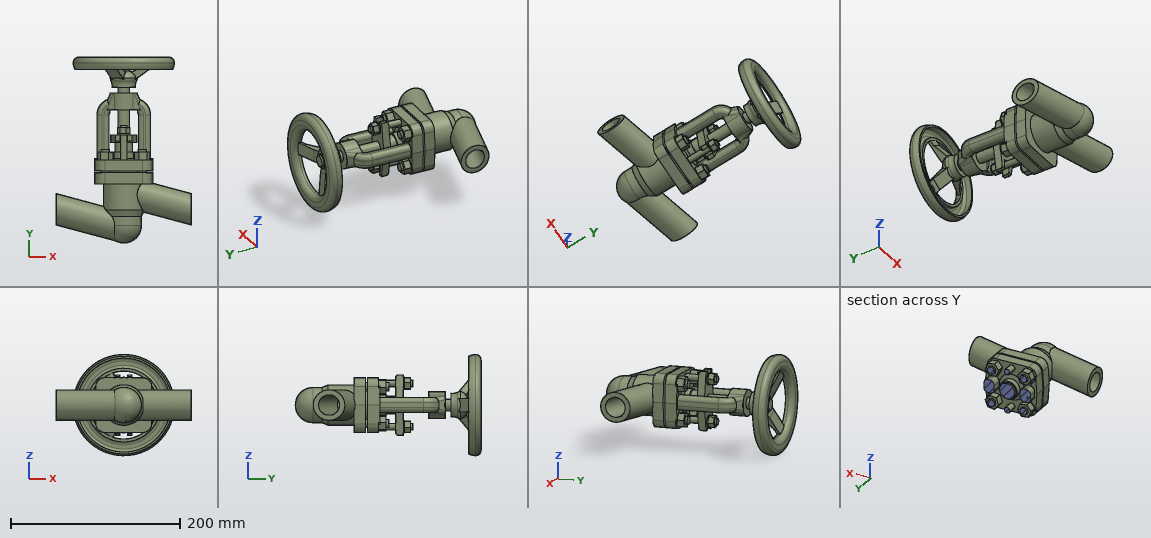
import cadquery as cq
import math


PIPE_RADIUS = 18.0
BORE_RADIUS = 12.0
PIPE_END_X = 80.0
PIPE_TILT = 15.0
BODY_RADIUS = 24.0
NECK_RADIUS = 21.0
CONE_TOP_Y = -1.0
CONE_BOTTOM_Y = -8.5
DOME_CENTRE_Y = -19.0

FLANGE_HALF_Z = 32.5
FLANGE_CORNER_X = 32.5
FLANGE_PEAK_X = 34.7
FLANGE_CORNER_RADIUS = 11.0
BODY_FLANGE_THICKNESS = 13.5
BONNET_FLANGE_THICKNESS = 13.0
BODY_FLANGE_Y = 29.7
FLANGE_GAP = 2.1
BONNET_FLANGE_Y = BODY_FLANGE_Y + BODY_FLANGE_THICKNESS + FLANGE_GAP
BONNET_TOP_Y = BONNET_FLANGE_Y + BONNET_FLANGE_THICKNESS
GASKET_RADIUS = 17.0
END_PAD_HEIGHT = 1.9
END_PAD_INNER_X = 27.0
END_PAD_HALF_Z = 22.7

BOLT_OFFSET = 21.8
BOLT_RADIUS = 5.0
BOLT_NUT_ACROSS_CORNERS = 18.6
BOLT_NUT_HEIGHT = 9.3
NUT_TURN = 8.0
BOLT_PROTRUSION = 3.0
SPOTFACE_RADIUS = 10.5

NECK_FOOT_RADIUS = 17.0
BONNET_NECK_RADIUS = 12.0
BONNET_NECK_TOP_Y = 67.7
GLAND_RADIUS = 10.5
GLAND_FLANGE_Y = 78.7
GLAND_FLANGE_THICKNESS = 9.3
GLAND_FLANGE_TOP_Y = GLAND_FLANGE_Y + GLAND_FLANGE_THICKNESS
GLAND_MIDDLE_HALF_WIDTH = 15.5
GLAND_HALF_LENGTH = 35.8
GLAND_TIP_HALF_WIDTH = 9.5
GLAND_TIP_CHAMFER = 2.0
GLAND_SLOT_WIDTH = 9.0
GLAND_BOLT_Z = 25.6
GLAND_BOLT_RADIUS = 4.0
GLAND_WASHER_RADIUS = 7.4
GLAND_WASHER_THICKNESS = 1.4
GLAND_NUT_ACROSS_CORNERS = 15.0
GLAND_NUT_HEIGHT = 7.2
GLAND_BOLT_PROTRUSION = 2.4

STEM_RADIUS = 7.0
STEM_TOP_Y = 166.0
YOKE_BOSS_RADIUS = 16.0
YOKE_BOSS_BOTTOM_Y = 117.6
YOKE_BOSS_TOP_Y = 137.6
LEG_X = 24.5
LEG_THICKNESS = 14.6
LEG_DEPTH = 18.0
LEG_ROUND = 6.0
LEG_BEND_RADIUS = 12.3
LEG_BEND_Y = 111.5
FLARE_OUTER_X = 19.5
FLARE_OUTER_Y = 129.0
FLARE_TOP_X = 15.5
FLARE_INNER_X = 10.5
FLARE_INNER_DEPTH = 24.0
FLARE_OUTER_DEPTH = 17.6
FLARE_CURVE_RADIUS = 18.0
FLARE_ROUND = 5.0

RIM_RADIUS = 60.0
RIM_INNER_RADIUS = 40.0
RIM_BOTTOM_Y = 165.1
RIM_TOP_Y = 180.0
RIM_SPLIT_Y = 173.0
RIM_LIP_OUTER = 57.8
RIM_LIP_INNER = 55.5
RIM_FLOOR_Y = 175.5
RIM_FLOOR_ROUND = 3.5
RIM_INNER_LIP_RADIUS = 43.6
RIM_INNER_LIP_Y = 169.5
RIM_LOWER_ARC_RADIUS = 18.0
SPOKE_COUNT = 3
SPOKE_WIDTH = 16.0
SPOKE_ROOT_RADIUS = 5.0
SPOKE_ROOT_BOTTOM_Y = 147.1
SPOKE_ROOT_TOP_Y = 160.8
SPOKE_TIP_RADIUS = 41.5
SPOKE_TIP_BOTTOM_Y = 170.0
SPOKE_TIP_TOP_Y = 174.0
SPOKE_UPPER_BEND_RADIUS = 15.0
SPOKE_UPPER_BEND_Y = 165.0
SPOKE_LOWER_BEND_RADIUS = 33.0
SPOKE_LOWER_BEND_Y = 167.4
HUB_BOTTOM_Y = 144.1
HUB_TOP_Y = 163.5
HUB_TOP_RADIUS = 9.0
HUB_DOME_RADIUS = 11.0
HUB_SKIRT_ARC_RADIUS = 12.0
HUB_BOTTOM_RADIUS = 14.0
HUB_BAND_RADIUS = 15.3
HUB_BAND_Y = 151.6
HUB_RIM_RADIUS = 16.3
HUB_RIM_Y = 155.5


def plane_at(y):
    """Workplane across the stem axis, with local axes X and Z."""
    return cq.Workplane("XZ", origin=(0, y, 0))


def rod(y0, y1, radius, x=0, z=0):
    return plane_at(y0).center(x, z).circle(radius).extrude(y0 - y1)


def hex_nut(y0, height, across_corners, turn, x, z):
    nut = plane_at(y0).polygon(6, across_corners).extrude(-height)
    return nut.rotate((0, 0, 0), (0, 1, 0), turn).translate((x, 0, z))


def turned(profile):
    """Solid of revolution about the stem axis from a closed (radius, y) outline."""
    return profile.close().revolve(360, (0, 0, 0), (0, 1, 0))


def body_shell():
    profile = (
        cq.Workplane("XY")
        .moveTo(0, BODY_FLANGE_Y)
        .lineTo(BODY_RADIUS, BODY_FLANGE_Y)
        .lineTo(BODY_RADIUS, CONE_TOP_Y)
        .lineTo(NECK_RADIUS, CONE_BOTTOM_Y)
        .lineTo(NECK_RADIUS, DOME_CENTRE_Y)
        .radiusArc((0, DOME_CENTRE_Y - NECK_RADIUS), NECK_RADIUS)
    )
    return turned(profile)


def pipe_rod(side, radius):
    """Tilted round bar from the pipe end at side * PIPE_END_X to the stem axis, end face square to X."""
    tilt = math.radians(PIPE_TILT)
    inner_y = side * PIPE_END_X * math.tan(tilt)
    outward = cq.Vector(side * math.cos(tilt), -side * math.sin(tilt), 0)
    run = PIPE_END_X / math.cos(tilt) + PIPE_RADIUS
    bar = cq.Workplane(cq.Plane((0, inner_y, 0), normal=outward)).circle(radius).extrude(run)
    span = 4 * PIPE_END_X
    return bar.intersect(cq.Workplane("XY").box(2 * PIPE_END_X, span, span))


def valve_body():
    body = body_shell()
    for side in (-1, 1):
        body = body.union(pipe_rod(side, PIPE_RADIUS))
    for side in (-1, 1):
        body = body.cut(pipe_rod(side, BORE_RADIUS))
    return body


def flange_plate(y0, thickness):
    outline = [
        (FLANGE_PEAK_X, 0),
        (FLANGE_CORNER_X, FLANGE_HALF_Z),
        (-FLANGE_CORNER_X, FLANGE_HALF_Z),
        (-FLANGE_PEAK_X, 0),
        (-FLANGE_CORNER_X, -FLANGE_HALF_Z),
        (FLANGE_CORNER_X, -FLANGE_HALF_Z),
    ]
    plate = plane_at(y0).polyline(outline).close().extrude(-thickness)
    return plate.edges("|Y and (>Z or <Z)").fillet(FLANGE_CORNER_RADIUS)


def end_pads():
    """Raised strips on the bonnet flange that carry the yoke legs."""
    pads = flange_plate(BONNET_TOP_Y, END_PAD_HEIGHT)
    width = FLANGE_PEAK_X - END_PAD_INNER_X
    ends = (
        plane_at(BONNET_TOP_Y)
        .pushPoints([(side * (END_PAD_INNER_X + width / 2), 0) for side in (-1, 1)])
        .rect(width, 2 * END_PAD_HALF_Z)
        .extrude(-END_PAD_HEIGHT)
    )
    pads = pads.intersect(ends)
    for x, z in bolt_places():
        pads = pads.cut(rod(BONNET_TOP_Y, BONNET_TOP_Y + END_PAD_HEIGHT, SPOTFACE_RADIUS, x, z))
    return pads


def bolt_places():
    return [(sx * BOLT_OFFSET, sz * BOLT_OFFSET) for sx in (-1, 1) for sz in (-1, 1)]


def flange_joint():
    joint = flange_plate(BODY_FLANGE_Y, BODY_FLANGE_THICKNESS)
    joint = joint.union(flange_plate(BONNET_FLANGE_Y, BONNET_FLANGE_THICKNESS))
    joint = joint.union(rod(BODY_FLANGE_Y, BONNET_TOP_Y, GASKET_RADIUS))
    joint = joint.union(end_pads())
    nut_top = BONNET_TOP_Y + BOLT_NUT_HEIGHT
    for x, z in bolt_places():
        joint = joint.union(rod(BODY_FLANGE_Y, nut_top + BOLT_PROTRUSION, BOLT_RADIUS, x, z))
        turn = math.copysign(NUT_TURN, x * z)
        nut = hex_nut(BONNET_TOP_Y, BOLT_NUT_HEIGHT, BOLT_NUT_ACROSS_CORNERS, turn, x, z)
        joint = joint.union(nut)
    return joint


def bonnet_neck():
    profile = (
        cq.Workplane("XY")
        .moveTo(0, BONNET_TOP_Y)
        .lineTo(NECK_FOOT_RADIUS, BONNET_TOP_Y)
        .lineTo(BONNET_NECK_RADIUS, BONNET_TOP_Y + END_PAD_HEIGHT)
        .lineTo(BONNET_NECK_RADIUS, BONNET_NECK_TOP_Y)
        .lineTo(GLAND_RADIUS, BONNET_NECK_TOP_Y)
        .lineTo(GLAND_RADIUS, GLAND_FLANGE_TOP_Y)
        .lineTo(0, GLAND_FLANGE_TOP_Y)
    )
    return turned(profile)


def gland_flange():
    """Flange tapering from a wide middle to two slotted ends."""
    middle = GLAND_MIDDLE_HALF_WIDTH
    tip = GLAND_TIP_HALF_WIDTH
    length = GLAND_HALF_LENGTH
    outline = [(middle, 0), (tip, length), (-tip, length), (-middle, 0), (-tip, -length), (tip, -length)]
    flange = (
        plane_at(GLAND_FLANGE_Y)
        .polyline(outline)
        .close()
        .extrude(-GLAND_FLANGE_THICKNESS)
    )
    flange = flange.faces("<Z or >Z").edges("<Y").chamfer(GLAND_TIP_CHAMFER)
    for side in (-1, 1):
        slot_floor = GLAND_BOLT_Z - GLAND_SLOT_WIDTH / 2
        slot = (
            plane_at(GLAND_FLANGE_Y)
            .center(0, side * (slot_floor + length / 2))
            .rect(GLAND_SLOT_WIDTH, length)
            .extrude(-GLAND_FLANGE_THICKNESS)
        )
        flange = flange.cut(slot)
    return flange


def gland_bolt(side):
    z = side * GLAND_BOLT_Z
    washer_top = GLAND_FLANGE_TOP_Y + GLAND_WASHER_THICKNESS
    nut_top = washer_top + GLAND_NUT_HEIGHT
    bolt = rod(BONNET_TOP_Y, nut_top + GLAND_BOLT_PROTRUSION, GLAND_BOLT_RADIUS, 0, z)
    bolt = bolt.union(rod(GLAND_FLANGE_TOP_Y, washer_top, GLAND_WASHER_RADIUS, 0, z))
    nut = hex_nut(washer_top, GLAND_NUT_HEIGHT, GLAND_NUT_ACROSS_CORNERS, -side * NUT_TURN, 0, z)
    return bolt.union(nut)


def leg_section(workplane):
    return workplane.placeSketch(cq.Sketch().rect(LEG_THICKNESS, LEG_DEPTH).vertices().fillet(LEG_ROUND))


def yoke_leg(side):
    """Straight leg and quarter bend that turns towards the boss."""
    straight = leg_section(plane_at(BONNET_TOP_Y).center(side * LEG_X, 0)).extrude(BONNET_TOP_Y - LEG_BEND_Y)
    bend_start = leg_section(plane_at(LEG_BEND_Y).center(side * LEG_X, 0))
    bend = bend_start.revolve(90, (-side * LEG_BEND_RADIUS, 0, 0), (-side * LEG_BEND_RADIUS, side, 0))
    return straight.union(bend).union(leg_flare(side))


def leg_flare(side):
    """Block that widens and rises from the leg section into the yoke boss."""
    outline = (
        cq.Workplane("XY")
        .moveTo(0, YOKE_BOSS_BOTTOM_Y)
        .lineTo(FLARE_OUTER_X, YOKE_BOSS_BOTTOM_Y)
        .lineTo(FLARE_OUTER_X, FLARE_OUTER_Y)
        .lineTo(FLARE_TOP_X, YOKE_BOSS_TOP_Y)
        .lineTo(0, YOKE_BOSS_TOP_Y)
        .close()
        .extrude(FLARE_INNER_DEPTH, both=True)
    )
    plan = (
        plane_at(YOKE_BOSS_BOTTOM_Y)
        .moveTo(0, -FLARE_INNER_DEPTH / 2)
        .lineTo(FLARE_INNER_X, -FLARE_INNER_DEPTH / 2)
        .radiusArc((FLARE_OUTER_X, -FLARE_OUTER_DEPTH / 2), FLARE_CURVE_RADIUS)
        .lineTo(FLARE_OUTER_X, FLARE_OUTER_DEPTH / 2)
        .radiusArc((FLARE_INNER_X, FLARE_INNER_DEPTH / 2), FLARE_CURVE_RADIUS)
        .lineTo(0, FLARE_INNER_DEPTH / 2)
        .close()
        .extrude(YOKE_BOSS_BOTTOM_Y - YOKE_BOSS_TOP_Y)
    )
    flare = outline.intersect(plan)
    upper_edges = cq.selectors.BoxSelector(
        (FLARE_TOP_X, FLARE_OUTER_Y + 1, -FLARE_INNER_DEPTH),
        (FLARE_OUTER_X, YOKE_BOSS_TOP_Y - 1, FLARE_INNER_DEPTH),
    )
    flare = flare.edges(upper_edges).fillet(FLARE_ROUND)
    return flare if side > 0 else flare.mirror("YZ")


def yoke():
    frame = rod(YOKE_BOSS_BOTTOM_Y, YOKE_BOSS_TOP_Y, YOKE_BOSS_RADIUS)
    for side in (-1, 1):
        frame = frame.union(yoke_leg(side))
    below_boss = (
        plane_at(YOKE_BOSS_BOTTOM_Y).rect(2 * YOKE_BOSS_RADIUS, LEG_DEPTH).extrude(LEG_THICKNESS / 2)
    )
    return frame.cut(below_boss)


def wheel_rim():
    """Hollow rim, open on the side facing the valve."""
    top_round = RIM_TOP_Y - RIM_SPLIT_Y
    profile = (
        cq.Workplane("XY")
        .moveTo(RIM_LIP_INNER, RIM_BOTTOM_Y)
        .lineTo(RIM_LIP_OUTER, RIM_BOTTOM_Y)
        .radiusArc((RIM_RADIUS, RIM_SPLIT_Y), -RIM_LOWER_ARC_RADIUS)
        .radiusArc((RIM_RADIUS - top_round, RIM_TOP_Y), -top_round)
        .lineTo(RIM_INNER_RADIUS + top_round, RIM_TOP_Y)
        .radiusArc((RIM_INNER_RADIUS, RIM_SPLIT_Y), -top_round)
        .lineTo(RIM_INNER_RADIUS, RIM_INNER_LIP_Y)
        .lineTo(RIM_INNER_LIP_RADIUS, RIM_INNER_LIP_Y)
        .lineTo(RIM_INNER_LIP_RADIUS, RIM_FLOOR_Y - RIM_FLOOR_ROUND)
        .radiusArc((RIM_INNER_LIP_RADIUS + RIM_FLOOR_ROUND, RIM_FLOOR_Y), RIM_FLOOR_ROUND)
        .lineTo(RIM_LIP_INNER - RIM_FLOOR_ROUND, RIM_FLOOR_Y)
        .radiusArc((RIM_LIP_INNER, RIM_FLOOR_Y - RIM_FLOOR_ROUND), RIM_FLOOR_ROUND)
    )
    return turned(profile)


def wheel_hub():
    profile = (
        cq.Workplane("XY")
        .moveTo(0, HUB_BOTTOM_Y)
        .lineTo(HUB_BOTTOM_RADIUS, HUB_BOTTOM_Y)
        .radiusArc((HUB_BAND_RADIUS, HUB_BAND_Y), HUB_SKIRT_ARC_RADIUS)
        .lineTo(HUB_RIM_RADIUS, HUB_RIM_Y)
        .radiusArc((HUB_TOP_RADIUS, HUB_TOP_Y), -HUB_DOME_RADIUS)
        .lineTo(0, HUB_TOP_Y)
    )
    return turned(profile)


def spoke(angle):
    side_outline = [
        (SPOKE_ROOT_RADIUS, SPOKE_ROOT_BOTTOM_Y),
        (SPOKE_LOWER_BEND_RADIUS, SPOKE_LOWER_BEND_Y),
        (SPOKE_TIP_RADIUS, SPOKE_TIP_BOTTOM_Y),
        (SPOKE_TIP_RADIUS, SPOKE_TIP_TOP_Y),
        (SPOKE_UPPER_BEND_RADIUS, SPOKE_UPPER_BEND_Y),
        (SPOKE_ROOT_RADIUS, SPOKE_ROOT_TOP_Y),
    ]
    bar = cq.Workplane("XY").polyline(side_outline).close().extrude(SPOKE_WIDTH / 2, both=True)
    return bar.rotate((0, 0, 0), (0, 1, 0), angle)


def handwheel():
    wheel = wheel_rim().union(wheel_hub())
    for index in range(SPOKE_COUNT):
        wheel = wheel.union(spoke(index * 360 / SPOKE_COUNT))
    return wheel


result = valve_body().union(flange_joint()).union(bonnet_neck()).union(gland_flange())
for gland_side in (-1, 1):
    result = result.union(gland_bolt(gland_side))
result = result.union(yoke()).union(handwheel())
result = result.union(rod(GLAND_FLANGE_TOP_Y, STEM_TOP_Y, STEM_RADIUS))